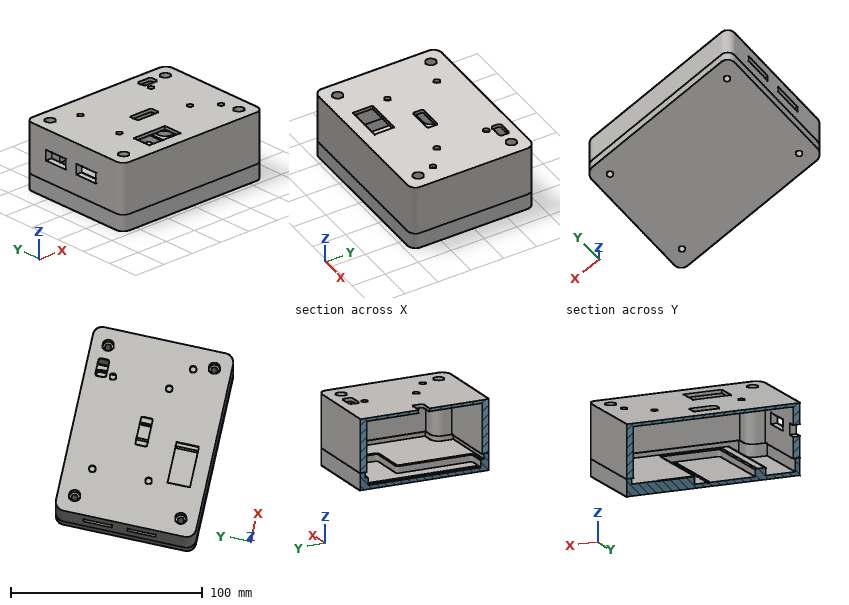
import cadquery as cq

LENGTH = 99.7
WIDTH = 74.8
HEIGHT = 39.5
LID_HEIGHT = 9.6
CORNER_RADIUS = 5.0
HOUSING_WALL = 4.0
LID_WALL = 3.0
ROOF = 2.0
LID_FLOOR = 2.5

LID_INNER_HALF_LENGTH = LENGTH / 2 - LID_WALL
LID_INNER_HALF_WIDTH = WIDTH / 2 - LID_WALL

SCREW_X = 40.8
SCREW_Y = 28.3
SCREW_DIAMETER = 3.4
SCREW_HEAD_DIAMETER = 6.0
SCREW_HEAD_DEPTH = 6.0
BOSS_RADIUS = 5.0

ROOF_HOLE_DIAMETER = 3.5
ROOF_HOLE_SPACING_X = 50.0
ROOF_HOLE_SPACING_Y = 30.0
ROOF_HOLE_CENTER_X = 0.2
ROOF_HOLE_CENTER_Y = 7.4
SINGLE_HOLE_CENTER = (38.0, -17.6)

WINDOW_SIZE = (22.0, 12.0)
WINDOW_CENTER = (-12.6, -23.4)
SLOT_LENGTH = 15.2
SLOT_WIDTH = 6.2
ROOF_SLOT_CENTER = (0.2, 0.3)
SWITCH_SIZE = (9.6, 5.8)
SWITCH_CENTER = (28.6, 28.8)
OPENING_CORNER_RADIUS = 1.0
SWITCH_CORNER_RADIUS = 1.5

SIDE_SLOT_CENTERS_Y = (14.1, -9.3)
SIDE_SLOT_CENTER_Z = 24.5

DECK_TOP = 6.8
DECK_LEFT = -30.3
POCKET_LEFT = -23.9
POCKET_RIGHT = 32.9
POCKET_HALF_WIDTH = 32.6
POCKET_CORNER_RADIUS = 1.5
ISLAND_LEFT = 10.2
ISLAND_BACK = 11.2
EDGE_CHAMFER = 0.5

RAMP_RUN = 1.1
RAMP_DROP = 0.5
FLOOR_RAMP_X = 2.0


def block(x_min, x_max, y_min, y_max, z_min, z_max):
    """Box given by its limits."""
    size = (x_max - x_min, y_max - y_min, z_max - z_min)
    return cq.Workplane("XY").box(*size, centered=False).translate((x_min, y_min, z_min))


def shell_blank(z_min, z_max):
    """Solid slice of the rounded enclosure outline."""
    blank = block(-LENGTH / 2, LENGTH / 2, -WIDTH / 2, WIDTH / 2, z_min, z_max)
    return blank.edges("|Z").fillet(CORNER_RADIUS)


def corner_bosses(wall, z_min, z_max):
    """Four screw bosses that merge into the walls, each with a rounded inner corner."""
    boss = block(SCREW_X - BOSS_RADIUS, LENGTH / 2 - wall,
                 SCREW_Y - BOSS_RADIUS, WIDTH / 2 - wall, z_min, z_max)
    boss = boss.edges("|Z and <X and <Y").fillet(BOSS_RADIUS)
    pair = boss.union(boss.mirror("YZ"))
    return pair.union(pair.mirror("XZ"))


def cavity(wall, z_min, z_max):
    """Inner space of the enclosure between the walls and the bosses."""
    half_length = LENGTH / 2 - wall
    half_width = WIDTH / 2 - wall
    space = block(-half_length, half_length, -half_width, half_width, z_min, z_max)
    return space.cut(corner_bosses(wall, z_min, z_max))


def screw_cylinders(diameter, z_min, z_max):
    """Four cylinders on the screw axes."""
    screws = cq.Workplane("XY").workplane(offset=z_min).rect(2 * SCREW_X, 2 * SCREW_Y, forConstruction=True)
    return screws.vertices().circle(diameter / 2).extrude(z_max - z_min)


def roof_opening(size, center, corner_radius=0.0):
    """Rectangular cutter through the roof, with optional rounded corners."""
    cutter = cq.Workplane("XY").box(*size, ROOF, centered=(True, True, False))
    if corner_radius > 0:
        cutter = cutter.edges("|Z").fillet(corner_radius)
    return cutter.translate((*center, HEIGHT - ROOF))


def roof_holes():
    """Cutters for the small round holes in the roof."""
    roof_bottom = cq.Workplane("XY").workplane(offset=HEIGHT - ROOF)
    pattern = roof_bottom.center(ROOF_HOLE_CENTER_X, ROOF_HOLE_CENTER_Y)
    pattern = pattern.rect(ROOF_HOLE_SPACING_X, ROOF_HOLE_SPACING_Y, forConstruction=True)
    pattern = pattern.vertices().circle(ROOF_HOLE_DIAMETER / 2).extrude(ROOF)
    single = roof_bottom.center(*SINGLE_HOLE_CENTER).circle(ROOF_HOLE_DIAMETER / 2).extrude(ROOF)
    return pattern.union(single)


def make_housing():
    """Upper body: a box open at the bottom."""
    body = shell_blank(LID_HEIGHT, HEIGHT)
    body = body.cut(cavity(HOUSING_WALL, LID_HEIGHT, HEIGHT - ROOF))
    body = body.cut(screw_cylinders(SCREW_DIAMETER, LID_HEIGHT, HEIGHT))
    body = body.cut(screw_cylinders(SCREW_HEAD_DIAMETER, HEIGHT - SCREW_HEAD_DEPTH, HEIGHT))
    body = body.cut(roof_holes())
    body = body.cut(roof_opening(WINDOW_SIZE, WINDOW_CENTER))
    body = body.cut(roof_opening((SLOT_LENGTH, SLOT_WIDTH), ROOF_SLOT_CENTER, OPENING_CORNER_RADIUS))
    body = body.cut(roof_opening(SWITCH_SIZE, SWITCH_CENTER, SWITCH_CORNER_RADIUS))
    side_wall_center_x = (HOUSING_WALL - LENGTH) / 2
    for center_y in SIDE_SLOT_CENTERS_Y:
        slot = cq.Workplane("XY").box(HOUSING_WALL, SLOT_LENGTH, SLOT_WIDTH)
        body = body.cut(slot.translate((side_wall_center_x, center_y, SIDE_SLOT_CENTER_Z)))
    return body


def make_deck():
    """Raised deck of the lid with its chamfered pocket."""
    deck = block(DECK_LEFT, LID_INNER_HALF_LENGTH,
                 -LID_INNER_HALF_WIDTH, LID_INNER_HALF_WIDTH, LID_FLOOR, DECK_TOP)
    deck = deck.edges(">Z and <X").chamfer(EDGE_CHAMFER)

    pocket = block(POCKET_LEFT, POCKET_RIGHT, -POCKET_HALF_WIDTH, POCKET_HALF_WIDTH, LID_FLOOR, DECK_TOP)
    island = block(ISLAND_LEFT, POCKET_RIGHT, -POCKET_HALF_WIDTH, ISLAND_BACK, LID_FLOOR, DECK_TOP)
    pocket = pocket.cut(island).edges("|Z").fillet(POCKET_CORNER_RADIUS)
    deck = deck.cut(pocket)

    rim_zone = cq.selectors.BoxSelector(
        (POCKET_LEFT + EDGE_CHAMFER, -LID_INNER_HALF_WIDTH + EDGE_CHAMFER, DECK_TOP - EDGE_CHAMFER),
        (LID_INNER_HALF_LENGTH - EDGE_CHAMFER, LID_INNER_HALF_WIDTH - EDGE_CHAMFER, DECK_TOP + EDGE_CHAMFER),
    )
    return deck.edges(rim_zone).chamfer(EDGE_CHAMFER)


def ramp(x_start, z_top):
    """Cutter for a shallow slope that falls towards +X along the pocket."""
    profile = cq.Workplane("XZ").moveTo(x_start, z_top)
    profile = profile.line(RAMP_RUN, 0).line(0, -RAMP_DROP).close()
    return profile.extrude(POCKET_HALF_WIDTH, both=True)


def make_lid():
    """Lower body: a shallow tray that closes the housing."""
    body = shell_blank(0, LID_HEIGHT)
    body = body.cut(cavity(LID_WALL, LID_FLOOR, LID_HEIGHT))
    body = body.union(make_deck())
    rim_ramp = ramp(POCKET_LEFT - RAMP_RUN, DECK_TOP)
    floor_ramp = ramp(FLOOR_RAMP_X, LID_FLOOR)
    body = body.cut(rim_ramp).cut(floor_ramp)
    return body.cut(screw_cylinders(SCREW_DIAMETER, 0, LID_HEIGHT))


housing = make_housing()
lid = make_lid()

result = cq.Compound.makeCompound([housing.val(), lid.val()])